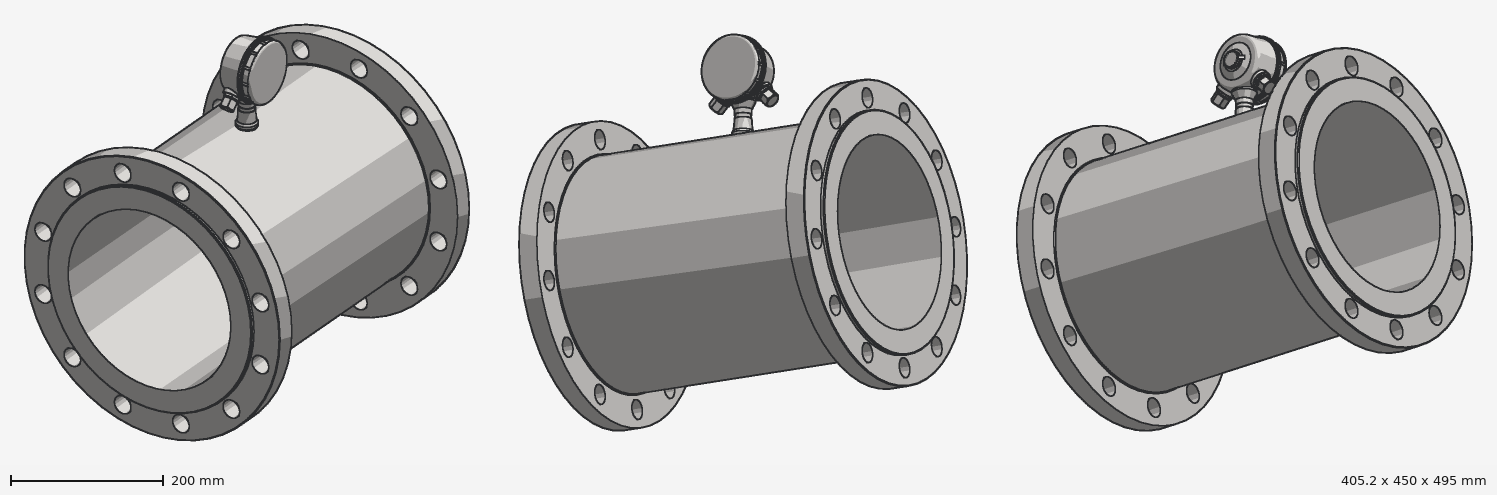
import cadquery as cq
import math

flange_radius = 202.6
flange_thickness = 28.0
flange_chamfer = 1.0
weld_leg = 1.5
overall_length = 450.0
face_diameter = 324.0
face_height = 5.5
face_chamfer = 1.5
bore_diameter = 258.0
body_radius = 158.0
bolt_count = 12
bolt_circle_radius = 178.0
bolt_hole_diameter = 26.0

overall_height = 495.0
ring_radius = 45.5
head_z = overall_height - flange_radius - ring_radius
housing_back_x = -18.5
housing_back_radius = 38.0
housing_front_radius = 42.5
back_fillet = 5.5
dome_radius = 25.5

cap_start_x = 15.0
cap_end_x = 35.0
cap_radius = 44.0
cap_fillet = 3.7
ring_start_x = 16.5
ring_end_x = 20.0
grip_start_x = 21.5
grip_end_x = 31.0
grip_radius = 41.8
rib_diameter = 3.5
rib_count = 12

knob_base_x = -22.5
knob_end_x = -28.0
knob_base_radius = 15.1
knob_radius = 10.5
knurl_diameter = 3.0
knurl_count = 20
pointer_reach = 18.5
pointer_width = 5.0
pointer_foot_x = -21.0

stem_foot_z = 153.5
stem_radius = 11.65
stem_groove_radius = 10.65
stem_flare_radius = 13.1
collar_radius = 15.1
stem_root_radius = 17.0
stem_root_start_z = 196.5
stem_root_end_z = 207.0
collar_foot_z = 159.0
collar_bottom_z = 160.5
collar_top_z = 164.5
collar_neck_z = 167.5
flare_mid_radius = 11.95
flare_mid_z = 175.5
groove_bottom_z = 184.0
groove_top_z = 189.5

gland_x = -2.0
gland_angle = 45.0
gland_boss_diameter = 26.0
gland_boss_end = 44.0
gland_collar_width = 23.5
gland_collar_end = 47.5
gland_neck_diameter = 17.0
nut_width = 22.0
nut_start = 49.0
nut_end = 63.0
nut_chamfer = 2.0


def turned_about_head(points):
    """Solid of revolution about the housing axis; points are (X position, radius)."""
    profile = cq.Workplane("XZ", origin=(0, 0, head_z)).polyline(points).close()
    return profile.revolve(360, (0, 0, 0), (1, 0, 0))


def cylinder_x(radius, start_x, end_x):
    """Cylinder on the housing axis between two X positions."""
    base = cq.Workplane("YZ", origin=(start_x, 0, head_z))
    return base.circle(radius).extrude(end_x - start_x)


def make_pipe():
    """Pipe body with a drilled, welded flange and a raised face at each end."""
    half_length = overall_length / 2
    face_radius = face_diameter / 2
    flange_outer_y = half_length - face_height
    flange_inner_y = flange_outer_y - flange_thickness
    half_profile = [
        (body_radius, flange_inner_y - weld_leg),
        (body_radius + weld_leg, flange_inner_y),
        (flange_radius, flange_inner_y),
        (flange_radius, flange_outer_y - flange_chamfer),
        (flange_radius - flange_chamfer, flange_outer_y),
        (face_radius, flange_outer_y),
        (face_radius, half_length - face_chamfer),
        (face_radius - face_chamfer, half_length),
        (bore_diameter / 2, half_length),
    ]
    mirrored = [(radius, -y) for radius, y in reversed(half_profile)]
    pipe = cq.Workplane("XY").polyline(half_profile + mirrored).close()
    pipe = pipe.revolve(360, (0, 0, 0), (0, 1, 0))
    holes = (
        cq.Workplane("XZ", origin=(0, half_length, 0))
        .polarArray(bolt_circle_radius, 180 / bolt_count, 360, bolt_count)
        .circle(bolt_hole_diameter / 2)
        .extrude(overall_length)
    )
    return pipe.cut(holes)


def make_housing():
    """Cone-shaped housing with a rounded back edge and a shallow cone on its back."""
    cone = turned_about_head([
        (housing_back_x, 0),
        (housing_back_x, housing_back_radius),
        (cap_start_x, housing_front_radius),
        (cap_start_x, 0),
    ])
    cone = cone.faces("<X").edges().fillet(back_fillet)
    dome = turned_about_head([
        (housing_back_x, 0),
        (housing_back_x, dome_radius),
        (knob_base_x, knob_base_radius),
        (knob_base_x, 0),
    ])
    return cone.union(dome)


def make_cap():
    """Screw cap with a raised ring and a ribbed grip band."""
    cap = cylinder_x(cap_radius, cap_start_x, cap_end_x).faces(">X").edges().fillet(cap_fillet)
    cap = cap.union(cylinder_x(ring_radius, ring_start_x, ring_end_x))
    grip_band = cylinder_x(ring_radius, grip_start_x, grip_end_x)
    cap = cap.cut(grip_band.cut(cylinder_x(grip_radius, grip_start_x, grip_end_x)))
    rib_center_radius = cap_radius - rib_diameter / 2
    ribs = (
        cq.Workplane("YZ", origin=(grip_start_x, 0, head_z))
        .polarArray(rib_center_radius, 0, 360, rib_count)
        .circle(rib_diameter / 2)
        .extrude(grip_end_x - grip_start_x)
    )
    return cap.union(ribs)


def make_knob():
    """Knurled knob with a ramped pointer on each side."""
    knob = cylinder_x(knob_radius, knob_base_x, knob_end_x)
    knurls = (
        cq.Workplane("YZ", origin=(knob_base_x, 0, head_z))
        .polarArray(knob_radius, 0, 360, knurl_count)
        .circle(knurl_diameter / 2)
        .extrude(knob_end_x - knob_base_x)
    )
    pointers = (
        cq.Workplane("XY", origin=(0, 0, head_z))
        .polyline([
            (housing_back_x, pointer_reach),
            (pointer_foot_x, pointer_reach),
            (knob_end_x, knob_radius),
            (knob_end_x, -knob_radius),
            (pointer_foot_x, -pointer_reach),
            (housing_back_x, -pointer_reach),
        ])
        .close()
        .extrude(pointer_width / 2, both=True)
    )
    return knob.union(knurls).union(pointers)


def make_stem():
    """Grooved stem that flares to a collar at the pipe and widens into the housing."""
    profile = (
        cq.Workplane("XZ")
        .moveTo(0, stem_foot_z)
        .lineTo(stem_flare_radius, stem_foot_z)
        .lineTo(stem_flare_radius, collar_foot_z)
        .lineTo(collar_radius, collar_bottom_z)
        .lineTo(collar_radius, collar_top_z)
        .lineTo(stem_flare_radius, collar_neck_z)
        .threePointArc((flare_mid_radius, flare_mid_z), (stem_radius, groove_bottom_z))
        .lineTo(stem_groove_radius, groove_bottom_z)
        .lineTo(stem_groove_radius, groove_top_z)
        .lineTo(stem_radius, groove_top_z)
        .lineTo(stem_radius, stem_root_start_z)
        .lineTo(stem_root_radius, stem_root_end_z)
        .lineTo(stem_root_radius, head_z)
        .lineTo(0, head_z)
        .close()
    )
    return profile.revolve(360, (0, 0, 0), (0, 1, 0))


def make_gland(side):
    """Cable gland that points down and out on one Y side of the housing."""
    angle = math.radians(gland_angle)
    direction = (0, side * math.cos(angle), -math.sin(angle))
    axis = cq.Workplane(cq.Plane((gland_x, 0, head_z), (1, 0, 0), direction))
    gland = axis.circle(gland_boss_diameter / 2).extrude(gland_boss_end)
    gland = gland.union(axis.polygon(6, gland_collar_width).extrude(gland_collar_end))
    gland = gland.union(axis.circle(gland_neck_diameter / 2).extrude(nut_end))
    nut = axis.workplane(offset=nut_start).polygon(6, nut_width).extrude(nut_end - nut_start)
    nut_envelope = (
        axis.workplane(offset=nut_start)
        .circle(nut_width / 2)
        .extrude(nut_end - nut_start)
        .faces(cq.selectors.DirectionMinMaxSelector(cq.Vector(direction)))
        .chamfer(nut_chamfer)
    )
    return gland.union(nut.intersect(nut_envelope))


result = make_pipe().union(make_stem()).union(make_housing()).union(make_cap()).union(make_knob())
for gland_side in (-1, 1):
    result = result.union(make_gland(gland_side))